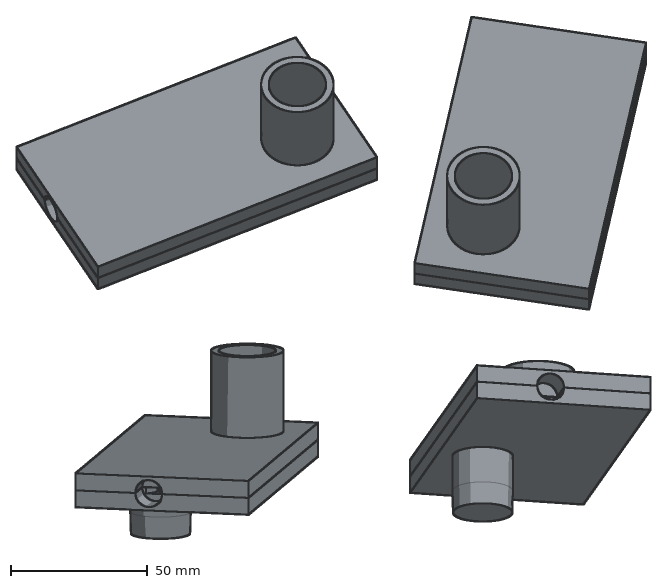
import cadquery as cq
import math


PLATE_WIDTH = 65.0
PLATE_LENGTH = 115.0
PLATE_THICKNESS = 6.3
FRONT_Y = -PLATE_LENGTH / 2

TUBE_OUTER_DIAMETER = 26.6
TUBE_BORE_DIAMETER = 20.9
TUBE_HEIGHT = 30.0
TUBE_X = 10.8
TUBE_Y = 35.9

SPIGOT_DIAMETER = 22.2
SPIGOT_SHANK_LENGTH = 13.5
SPIGOT_TIP_LENGTH = 8.2
SPIGOT_TIP_INSET = 0.2
SPIGOT_X = -15.8
SPIGOT_Y = 9.4

PORT_DIAMETER = 10.0
PORT_DEPTH = 11.5
PORT_X = -5.0

THROAT_ENTRY_WIDTH = 7.4
THROAT_END_WIDTH = 0.9
THROAT_WALL_RADIUS = 5.8
THROAT_DEPTH = 2.3


def make_plate(bottom_z):
    """Rectangular plate whose underside lies at bottom_z."""
    return (
        cq.Workplane("XY")
        .workplane(offset=bottom_z)
        .rect(PLATE_WIDTH, PLATE_LENGTH)
        .extrude(PLATE_THICKNESS)
    )


def make_port():
    """Cutter for the blind round port, running inward from the front edge."""
    return (
        cq.Workplane("XZ", origin=(PORT_X, FRONT_Y, 0))
        .circle(PORT_DIAMETER / 2)
        .extrude(-PORT_DEPTH)
    )


def make_throat():
    """Cutter for the throat, which narrows from the port floor between two convex arcs."""
    entry_half = THROAT_ENTRY_WIDTH / 2
    end_half = THROAT_END_WIDTH / 2
    wall_centre_x = end_half + THROAT_WALL_RADIUS
    entry_angle = math.acos((wall_centre_x - entry_half) / THROAT_WALL_RADIUS)
    throat_length = THROAT_WALL_RADIUS * math.sin(entry_angle)

    mid_x = wall_centre_x - THROAT_WALL_RADIUS * math.cos(entry_angle / 2)
    mid_y = throat_length - THROAT_WALL_RADIUS * math.sin(entry_angle / 2)

    return (
        cq.Workplane("XY", origin=(PORT_X, FRONT_Y + PORT_DEPTH, 0))
        .moveTo(-entry_half, 0)
        .lineTo(entry_half, 0)
        .threePointArc((mid_x, mid_y), (end_half, throat_length))
        .lineTo(-end_half, throat_length)
        .threePointArc((-mid_x, mid_y), (-entry_half, 0))
        .close()
        .extrude(-THROAT_DEPTH)
    )


def make_upper_plate():
    """Upper plate with the top half of the port."""
    return make_plate(0).cut(make_port())


def make_lower_plate():
    """Lower plate with the bottom half of the port and the throat."""
    return make_plate(-PLATE_THICKNESS).cut(make_port()).cut(make_throat())


def make_tube():
    """Open tube standing on the upper plate, which closes its bore."""
    return (
        cq.Workplane("XY", origin=(TUBE_X, TUBE_Y, PLATE_THICKNESS))
        .circle(TUBE_OUTER_DIAMETER / 2)
        .circle(TUBE_BORE_DIAMETER / 2)
        .extrude(TUBE_HEIGHT)
    )


def make_spigot():
    """Spigot turned about its own vertical axis; the tip curves in tangent to the shank."""
    radius = SPIGOT_DIAMETER / 2
    shank_end_z = -SPIGOT_SHANK_LENGTH
    tip_end_z = shank_end_z - SPIGOT_TIP_LENGTH
    return (
        cq.Workplane("XZ", origin=(SPIGOT_X, SPIGOT_Y, -PLATE_THICKNESS))
        .lineTo(radius, 0)
        .lineTo(radius, shank_end_z)
        .tangentArcPoint((radius - SPIGOT_TIP_INSET, tip_end_z), relative=False)
        .lineTo(0, tip_end_z)
        .close()
        .revolve(360, (0, 0, 0), (0, 1, 0))
    )


upper_plate = make_upper_plate()
lower_plate = make_lower_plate()
tube = make_tube()
spigot = make_spigot()

result = cq.Compound.makeCompound([
    upper_plate.val(),
    lower_plate.val(),
    tube.val(),
    spigot.val(),
])